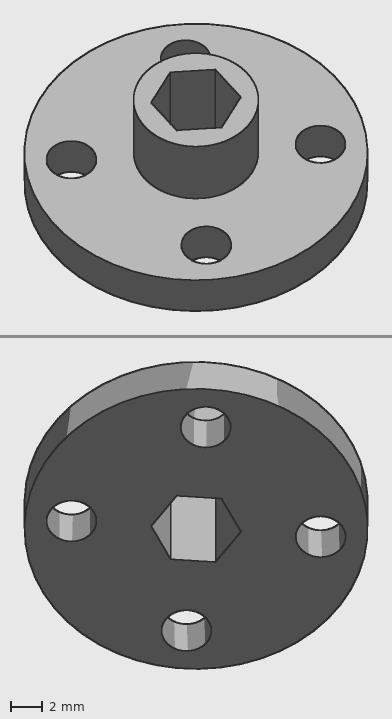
import cadquery as cq
import math

flange_diameter = 22.0
flange_thickness = 3.0

total_height = 8.0
hub_diameter = 8.0

hex_across_flats = 5.0
hex_across_corners = hex_across_flats / math.cos(math.radians(30))

hole_count = 4
hole_diameter = 3.2
hole_circle_radius = 8.0
first_hole_angle = 60

flange = cq.Workplane("XY").circle(flange_diameter / 2).extrude(flange_thickness)
hub = cq.Workplane("XY").circle(hub_diameter / 2).extrude(total_height)

hex_bore = cq.Workplane("XY").polygon(6, hex_across_corners).extrude(total_height)
mounting_holes = (
    cq.Workplane("XY")
    .polarArray(hole_circle_radius, first_hole_angle, 360, hole_count)
    .circle(hole_diameter / 2)
    .extrude(flange_thickness)
)

result = flange.union(hub).cut(hex_bore).cut(mounting_holes)